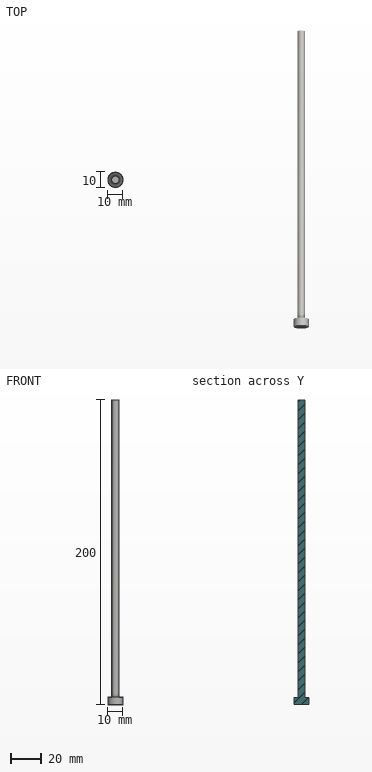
import cadquery as cq

total_length = 200.0
head_diameter = 10.0
head_height = 5.0
shank_diameter = 5.0

head = cq.Workplane("XY").circle(head_diameter / 2).extrude(head_height)
shank = cq.Workplane("XY").circle(shank_diameter / 2).extrude(total_length)

result = head.union(shank)